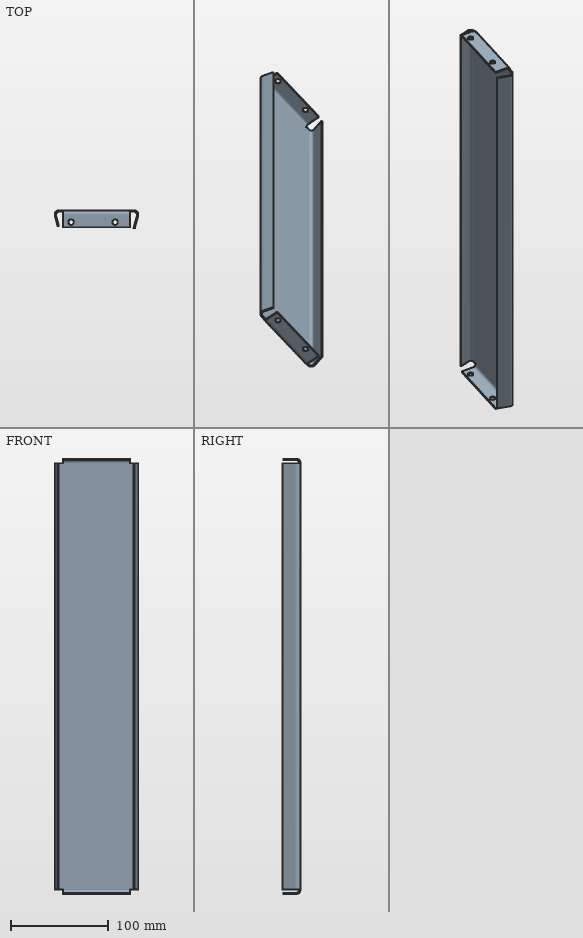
import cadquery as cq
import math

OVERALL_WIDTH = 85.69
OVERALL_DEPTH = 18.5
OVERALL_HEIGHT = 445.2

RIGHT_FLANGE_DEPTH = OVERALL_DEPTH
LEFT_FLANGE_DEPTH = 16.5
TAB_DEPTH = 17.5

SHEET = 1.5
INNER_RADIUS = 3.0
OUTER_RADIUS = INNER_RADIUS + SHEET
SIDE_BEND_ANGLE = 105.0

TAB_WIDTH = 68.5
HOLE_DIAMETER = 5.4
HOLE_SPACING = 45.0
HOLE_PAIR_CENTRE_X = -3.5
HOLE_FROM_TAB_EDGE = 5.4

WEB_HEIGHT = OVERALL_HEIGHT - 2 * OUTER_RADIUS
BEND_CENTRE_Y = -OUTER_RADIUS
BEND_CENTRE_X = OVERALL_WIDTH / 2 - OUTER_RADIUS


def bend_point(radius, turned):
    """Point on the right-hand side bend after turning by an angle in degrees."""
    angle = math.radians(90 - turned)
    return (
        BEND_CENTRE_X + radius * math.cos(angle),
        BEND_CENTRE_Y + radius * math.sin(angle),
    )


def side_flange(depth):
    """Right-hand bend and its inward-leaning flange, reaching `depth` below the back face."""
    lean = math.radians(SIDE_BEND_ANGLE - 90)
    outer_start = bend_point(OUTER_RADIUS, SIDE_BEND_ANGLE)
    inner_start = bend_point(INNER_RADIUS, SIDE_BEND_ANGLE)
    length = (depth + outer_start[1]) / math.cos(lean)
    run_x = -length * math.sin(lean)
    run_y = -length * math.cos(lean)
    return (
        cq.Workplane("XY")
        .workplane(offset=-WEB_HEIGHT / 2)
        .moveTo(BEND_CENTRE_X, 0)
        .threePointArc(bend_point(OUTER_RADIUS, SIDE_BEND_ANGLE / 2), outer_start)
        .line(run_x, run_y)
        .lineTo(inner_start[0] + run_x, inner_start[1] + run_y)
        .lineTo(*inner_start)
        .threePointArc(
            bend_point(INNER_RADIUS, SIDE_BEND_ANGLE / 2), (BEND_CENTRE_X, -SHEET)
        )
        .close()
        .extrude(WEB_HEIGHT)
    )


def end_tab():
    """Top bend and its square-folded tab with two holes."""
    bend_z = WEB_HEIGHT / 2
    top_z = OVERALL_HEIGHT / 2
    diagonal = math.cos(math.radians(45))
    tab = (
        cq.Workplane("YZ")
        .workplane(offset=-TAB_WIDTH / 2)
        .moveTo(0, bend_z)
        .threePointArc(
            (BEND_CENTRE_Y + OUTER_RADIUS * diagonal, bend_z + OUTER_RADIUS * diagonal),
            (BEND_CENTRE_Y, top_z),
        )
        .lineTo(-TAB_DEPTH, top_z)
        .lineTo(-TAB_DEPTH, top_z - SHEET)
        .lineTo(BEND_CENTRE_Y, top_z - SHEET)
        .threePointArc(
            (BEND_CENTRE_Y + INNER_RADIUS * diagonal, bend_z + INNER_RADIUS * diagonal),
            (-SHEET, bend_z),
        )
        .close()
        .extrude(TAB_WIDTH)
    )
    hole_y = -TAB_DEPTH + HOLE_FROM_TAB_EDGE
    hole_centres = [
        (HOLE_PAIR_CENTRE_X + side * HOLE_SPACING / 2, hole_y) for side in (-1, 1)
    ]
    holes = (
        cq.Workplane("XY")
        .workplane(offset=top_z - SHEET)
        .pushPoints(hole_centres)
        .circle(HOLE_DIAMETER / 2)
        .extrude(SHEET)
    )
    return tab.cut(holes)


web = cq.Workplane("XY").box(2 * BEND_CENTRE_X, SHEET, WEB_HEIGHT)
web = web.translate((0, -SHEET / 2, 0))

right_flange = side_flange(RIGHT_FLANGE_DEPTH)
left_flange = side_flange(LEFT_FLANGE_DEPTH).mirror("YZ")
top_tab = end_tab()
bottom_tab = top_tab.mirror("XY")

result = web.union(right_flange).union(left_flange).union(top_tab).union(bottom_tab)